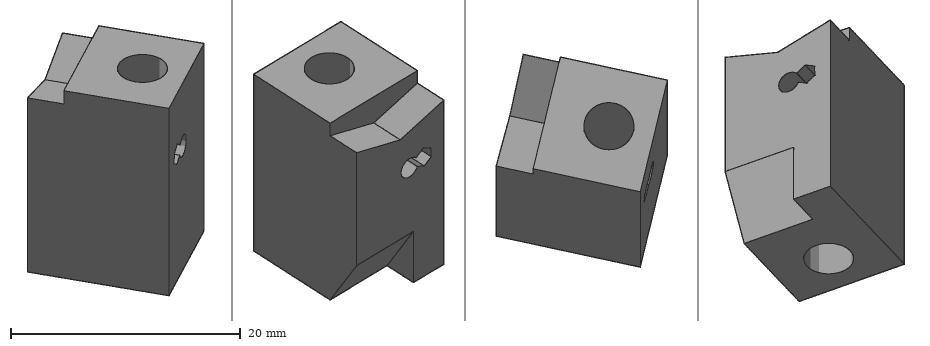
import cadquery as cq
import math

LENGTH_X = 12.87
WIDTH_Y = 10.59
HEIGHT_Z = 19.65

LEDGE_LENGTH = 3.31
LEDGE_EDGE_DROP = 1.39
LEDGE_VALLEY_DROP = 2.89

RELIEF_LENGTH = LEDGE_LENGTH
RELIEF_HEIGHT = 5.7
RELIEF_START_Y = 3.69

BORE_DIAMETER = 4.35
BORE_X = 8.86
BORE_Y = WIDTH_Y / 2

CROSS_HOLE_RADIUS = 1.02
ROUND_HOLE_CENTER = (4.17, 13.04)
HEX_HOLE_CENTER = (2.45, 13.27)
HEX_SIDES = 6
HEX_CORNER_ANGLE = 86.4


def ledge_cutter():
    edge_z = HEIGHT_Z - LEDGE_EDGE_DROP
    valley_z = HEIGHT_Z - LEDGE_VALLEY_DROP
    outline = [
        (0, HEIGHT_Z),
        (0, edge_z),
        (WIDTH_Y / 2, valley_z),
        (WIDTH_Y, edge_z),
        (WIDTH_Y, HEIGHT_Z),
    ]
    return cq.Workplane("YZ").polyline(outline).close().extrude(LEDGE_LENGTH)


def relief_cutter():
    outline = [(0, 0), (RELIEF_LENGTH, 0), (0, RELIEF_HEIGHT)]
    return (
        cq.Workplane("XZ", origin=(0, RELIEF_START_Y, 0))
        .polyline(outline)
        .close()
        .extrude(RELIEF_START_Y - WIDTH_Y)
    )


def bore_cutter():
    return cq.Workplane("XY").center(BORE_X, BORE_Y).circle(BORE_DIAMETER / 2).extrude(HEIGHT_Z)


def round_hole_cutter():
    return cq.Workplane("YZ").center(*ROUND_HOLE_CENTER).circle(CROSS_HOLE_RADIUS).extrude(LENGTH_X)


def hex_hole_cutter():
    center_y, center_z = HEX_HOLE_CENTER
    corners = []
    for index in range(HEX_SIDES):
        angle = math.radians(HEX_CORNER_ANGLE + index * 360 / HEX_SIDES)
        corner_y = center_y + CROSS_HOLE_RADIUS * math.cos(angle)
        corner_z = center_z + CROSS_HOLE_RADIUS * math.sin(angle)
        corners.append((corner_y, corner_z))
    return cq.Workplane("YZ").polyline(corners).close().extrude(LENGTH_X)


block = cq.Workplane("XY").box(LENGTH_X, WIDTH_Y, HEIGHT_Z, centered=False)

result = (
    block.cut(ledge_cutter())
    .cut(relief_cutter())
    .cut(bore_cutter())
    .cut(round_hole_cutter())
    .cut(hex_hole_cutter())
)